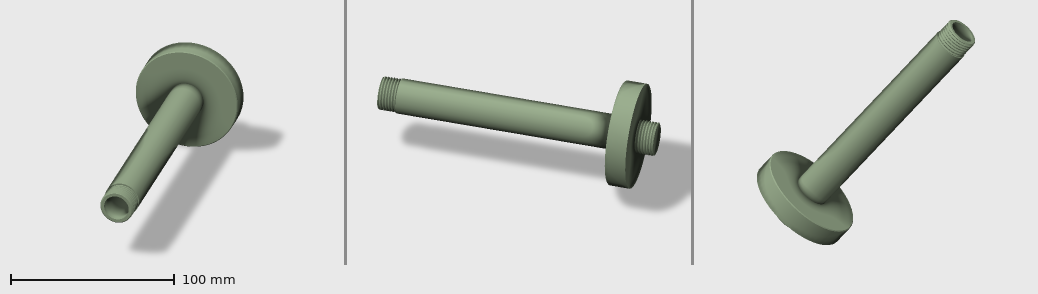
import cadquery as cq

total_length = 174.0
thread_length = 11.7
flange_diameter = 65.0
flange_thickness = 13.0
flange_edge_chamfer = 0.5
tube_diameter = 21.8
bore_diameter = 15.7

thread_diameter = 20.9
thread_pitch = 1.81
thread_depth = 1.0
groove_width = 1.4
groove_overcut = 0.2
outlet_chamfer = 0.7
inlet_chamfer = 0.5
groove_start_angle = 37.0

outlet_y = -total_length / 2
inlet_y = total_length / 2
shoulder_y = outlet_y + thread_length
flange_back_y = inlet_y - thread_length
flange_front_y = flange_back_y - flange_thickness


def cylinder(diameter, start_y, length):
    """Solid cylinder along +Y, starting at start_y."""
    return (
        cq.Workplane("XZ", origin=(0, start_y, 0))
        .circle(diameter / 2)
        .extrude(-length)
    )


def threaded_end(base_y, direction, chamfer):
    """Threaded stub from base_y toward +Y (direction 1) or -Y (direction -1), with a helical V groove
    running out at both ends and a chamfer on its free end.
    """
    crest_radius = thread_diameter / 2
    root_radius = crest_radius - thread_depth
    outer_radius = crest_radius + groove_overcut
    outer_half_width = groove_width / 2 * (thread_depth + groove_overcut) / thread_depth

    blank = cq.Workplane("XY").circle(crest_radius).extrude(thread_length)
    blank = blank.faces(">Z").chamfer(chamfer)

    helix_start = -thread_pitch
    helix_length = thread_length + 2 * thread_pitch
    helix = cq.Wire.makeHelix(thread_pitch, helix_length, root_radius, cq.Vector(0, 0, helix_start))
    groove = (
        cq.Workplane("XZ")
        .moveTo(root_radius, helix_start)
        .lineTo(outer_radius, helix_start + outer_half_width)
        .lineTo(outer_radius, helix_start - outer_half_width)
        .close()
        .sweep(cq.Workplane(obj=helix), isFrenet=True)
        .rotate((0, 0, 0), (0, 0, 1), groove_start_angle)
    )
    stub = blank.cut(groove)
    return stub.rotate((0, 0, 0), (1, 0, 0), -90 * direction).translate((0, base_y, 0))


tube = cylinder(tube_diameter, shoulder_y, flange_back_y - shoulder_y)

flange = (
    cylinder(flange_diameter, flange_front_y, flange_thickness)
    .faces("<Y")
    .chamfer(flange_edge_chamfer)
)

outlet_thread = threaded_end(shoulder_y, -1, outlet_chamfer)
inlet_thread = threaded_end(flange_back_y, 1, inlet_chamfer)

bore = cylinder(bore_diameter, outlet_y, flange_front_y - outlet_y)

result = tube.union(flange).union(outlet_thread).union(inlet_thread).cut(bore)